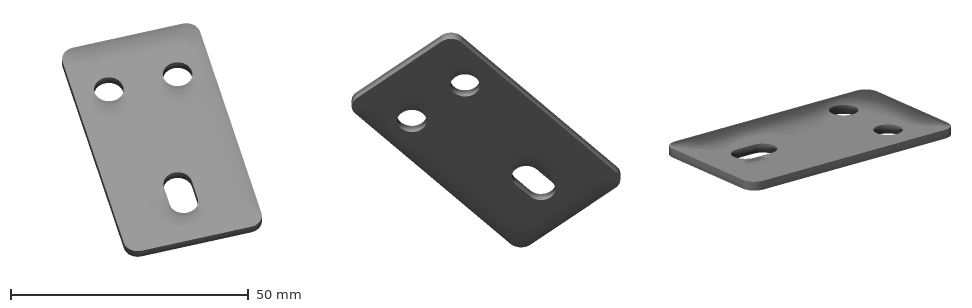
import cadquery as cq

length = 55.0
width = 30.0
thickness = 2.0
corner_radius = 3.0

hole_diameter = 6.2
hole_spacing = width / 2
opening_offset = 15.0
slot_length = 10.8
slot_width = 6.1

plate = (
    cq.Workplane("XY")
    .rect(length, width)
    .extrude(thickness)
    .edges("|Z")
    .fillet(corner_radius)
)

round_holes = (
    cq.Workplane("XY")
    .pushPoints([(-opening_offset, side * hole_spacing / 2) for side in (-1, 1)])
    .circle(hole_diameter / 2)
    .extrude(thickness)
)

slot = (
    cq.Workplane("XY")
    .center(opening_offset, 0)
    .slot2D(slot_length, slot_width)
    .extrude(thickness)
)

result = plate.cut(round_holes).cut(slot)